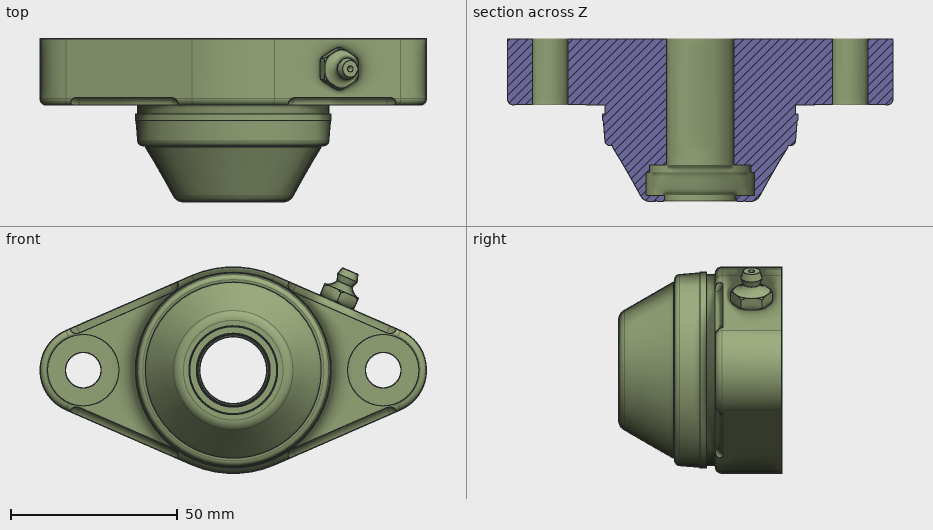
import cadquery as cq
import math


FLANGE_THICKNESS = 20.0
CENTER_RADIUS = 31.0
LUG_RADIUS = 13.0
LUG_OFFSET = 45.0
RIM_FILLET = 2.0
BOLT_HOLE_DIAMETER = 10.6
PAD_RADIUS = 10.7
PAD_DEPTH = 0.1

SIDE_SIN = (CENTER_RADIUS - LUG_RADIUS) / LUG_OFFSET
SIDE_COS = math.sqrt(1 - SIDE_SIN**2)
SIDE_LENGTH = LUG_OFFSET * SIDE_COS

COVE_RADIUS = 2.3
COVE_CENTER_SETBACK = 6.9
COVE_LUG_SETBACK = 3.5

HOUSING_RADIUS = 28.7
BAND_RADIUS = 29.4
BAND_START = 22.6
BAND_END = 24.6
CAP_RADIUS = 29.2
CAP_RIM_RADIUS = 28.7
CAP_RIM_END = 30.7
CAP_RIM_ROUND = 1.7
SHOULDER_RADIUS = 27.2
SHOULDER_END = 32.2
CONE_START_RADIUS = 26.4
CONE_START = 32.6
CONE_ANGLE = math.radians(30)
NOSE_ROUND = 3.4
TOTAL_DEPTH = 49.0

BORE_RADIUS = 10.0
SEAL_RADIUS = 13.2
SEAL_GROOVE_WIDTH = 0.3
SEAL_GROOVE_DEPTH = 0.3
SEAL_LIP_RADIUS = 10.6
SEAL_LIP_CHAMFER = 0.5
SEAL_LIP_LEDGE = 0.2
SEAL_LIP_WIDTH = 2.0
OUTER_CAVITY_RADIUS = 16.2
CAVITY_STEP_DEPTH = 8.8
INNER_CAVITY_RADIUS = 15.1
CAVITY_DEPTH = 11.0

NIPPLE_SETBACK = 9.1
NIPPLE_POSITION = 20.3
NIPPLE_EMBED = 1.0
HEX_ACROSS_FLATS = 11.0
HEX_HEIGHT = 3.8
HEX_CHAMFER = 0.6
SKIRT_RADIUS = HEX_ACROSS_FLATS / 2
SKIRT_MID_RADIUS = 3.5
SKIRT_MID_HEIGHT = 4.75
NECK_RADIUS = 2.5
NECK_HEIGHT = 6.1
HEAD_RADIUS = 3.2
HEAD_HEIGHT = 8.1
TIP_RADIUS = 2.5
TIP_HEIGHT = 10.3
PORT_RADIUS = 0.9
PORT_DEPTH = 1.0


AXIAL_PLANE = cq.Plane(origin=(0, 0, 0), xDir=(0, -1, 0), normal=(-1, 0, 0))


def revolve_about_y(profile):
    """Turn a closed profile, drawn as (distance along -Y, radius), about the Y axis."""
    return profile.close().revolve(360, (0, 0, 0), (1, 0, 0))


def side_frame(x_sign, z_sign, along, depth):
    """Frame on a straight side: x runs toward the lug, z points out of the side."""
    x = x_sign * (CENTER_RADIUS * SIDE_SIN + along * SIDE_COS)
    z = z_sign * (CENTER_RADIUS * SIDE_COS - along * SIDE_SIN)
    toward_lug = (x_sign * SIDE_COS, 0, -z_sign * SIDE_SIN)
    outward = (x_sign * SIDE_SIN, 0, z_sign * SIDE_COS)
    return cq.Plane(origin=(x, -depth, z), xDir=toward_lug, normal=outward)


def make_flange():
    center_x = CENTER_RADIUS * SIDE_SIN
    center_z = CENTER_RADIUS * SIDE_COS
    lug_x = LUG_OFFSET + LUG_RADIUS * SIDE_SIN
    lug_z = LUG_RADIUS * SIDE_COS
    lug_tip = LUG_OFFSET + LUG_RADIUS
    flange = (
        cq.Workplane("XZ")
        .moveTo(-center_x, center_z)
        .threePointArc((0, CENTER_RADIUS), (center_x, center_z))
        .lineTo(lug_x, lug_z)
        .threePointArc((lug_tip, 0), (lug_x, -lug_z))
        .lineTo(center_x, -center_z)
        .threePointArc((0, -CENTER_RADIUS), (-center_x, -center_z))
        .lineTo(-lug_x, -lug_z)
        .threePointArc((-lug_tip, 0), (-lug_x, lug_z))
        .close()
        .extrude(FLANGE_THICKNESS)
    )
    return flange.faces("<Y").edges().fillet(RIM_FILLET)


def make_cove(x_sign, z_sign):
    """Round-ended cutter centred on the front edge of one straight side."""
    frame = side_frame(x_sign, z_sign, COVE_CENTER_SETBACK, FLANGE_THICKNESS)
    length = SIDE_LENGTH - COVE_CENTER_SETBACK - COVE_LUG_SETBACK
    diagonal = COVE_RADIUS * math.sqrt(0.5)
    profile = (
        cq.Workplane(frame)
        .moveTo(-COVE_RADIUS, 0)
        .threePointArc((-diagonal, diagonal), (0, COVE_RADIUS))
        .lineTo(length, COVE_RADIUS)
        .threePointArc((length + diagonal, diagonal), (length + COVE_RADIUS, 0))
        .close()
    )
    return profile.revolve(360, (0, 0, 0), (1, 0, 0))


def make_housing():
    nose_radial = NOSE_ROUND * math.cos(CONE_ANGLE)
    nose_axial = NOSE_ROUND * (1 - math.sin(CONE_ANGLE))
    cone_end = TOTAL_DEPTH - nose_axial
    cone_end_radius = CONE_START_RADIUS - (cone_end - CONE_START) * math.tan(CONE_ANGLE)
    face_radius = cone_end_radius - nose_radial
    nose_mid_angle = (CONE_ANGLE + math.pi / 2) / 2
    nose_mid = (
        TOTAL_DEPTH - NOSE_ROUND * (1 - math.sin(nose_mid_angle)),
        face_radius + NOSE_ROUND * math.cos(nose_mid_angle),
    )
    profile = (
        cq.Workplane(AXIAL_PLANE)
        .lineTo(0, HOUSING_RADIUS)
        .lineTo(BAND_START, HOUSING_RADIUS)
        .lineTo(BAND_START, BAND_RADIUS)
        .lineTo(BAND_END, BAND_RADIUS)
        .lineTo(BAND_END, CAP_RADIUS)
        .lineTo(CAP_RIM_END, CAP_RIM_RADIUS)
        .radiusArc((SHOULDER_END, SHOULDER_RADIUS), CAP_RIM_ROUND)
        .lineTo(SHOULDER_END, CONE_START_RADIUS)
        .lineTo(CONE_START, CONE_START_RADIUS)
        .lineTo(cone_end, cone_end_radius)
        .threePointArc(nose_mid, (TOTAL_DEPTH, face_radius))
        .lineTo(TOTAL_DEPTH, 0)
    )
    return revolve_about_y(profile)


def make_bore():
    """Everything removed along the shaft axis."""
    lip_back = TOTAL_DEPTH - SEAL_LIP_WIDTH
    cavity_step = TOTAL_DEPTH - CAVITY_STEP_DEPTH
    cavity_floor = TOTAL_DEPTH - CAVITY_DEPTH
    chamfer_end = TOTAL_DEPTH - SEAL_LIP_CHAMFER
    profile = (
        cq.Workplane(AXIAL_PLANE)
        .lineTo(0, BORE_RADIUS)
        .lineTo(cavity_floor, BORE_RADIUS)
        .lineTo(cavity_floor, INNER_CAVITY_RADIUS)
        .lineTo(cavity_step, INNER_CAVITY_RADIUS)
        .lineTo(cavity_step, OUTER_CAVITY_RADIUS)
        .lineTo(lip_back, OUTER_CAVITY_RADIUS)
        .lineTo(lip_back, SEAL_LIP_RADIUS)
        .lineTo(chamfer_end, SEAL_LIP_RADIUS)
        .lineTo(chamfer_end, SEAL_LIP_RADIUS + SEAL_LIP_LEDGE)
        .lineTo(TOTAL_DEPTH, SEAL_LIP_RADIUS + SEAL_LIP_CHAMFER)
        .lineTo(TOTAL_DEPTH, 0)
    )
    return revolve_about_y(profile)


def make_seal_groove():
    """Fine ring groove between the seal and the nose of the cap."""
    return (
        cq.Workplane("XZ", origin=(0, SEAL_GROOVE_DEPTH - TOTAL_DEPTH, 0))
        .circle(SEAL_RADIUS + SEAL_GROOVE_WIDTH / 2)
        .circle(SEAL_RADIUS - SEAL_GROOVE_WIDTH / 2)
        .extrude(SEAL_GROOVE_DEPTH)
    )


def make_lug_cuts(x):
    """Bolt hole and spot face of the lug at the given X."""
    hole = cq.Workplane("XZ").center(x, 0).circle(BOLT_HOLE_DIAMETER / 2).extrude(FLANGE_THICKNESS)
    spot_face = (
        cq.Workplane("XZ", origin=(x, PAD_DEPTH - FLANGE_THICKNESS, 0))
        .circle(PAD_RADIUS)
        .extrude(PAD_DEPTH)
    )
    return hole.union(spot_face)


def make_nipple():
    frame = side_frame(1, 1, NIPPLE_POSITION, NIPPLE_SETBACK)
    across_corners = HEX_ACROSS_FLATS / math.cos(math.pi / 6)
    hexagon = (
        cq.Workplane(frame)
        .transformed(rotate=(0, 0, 90))
        .polygon(6, across_corners)
        .extrude(HEX_HEIGHT)
    )
    chamfered_disc = (
        cq.Workplane(frame)
        .circle(across_corners / 2)
        .extrude(HEX_HEIGHT)
        .edges("%CIRCLE")
        .chamfer(HEX_CHAMFER)
    )
    stem_plane = cq.Plane(origin=frame.origin, xDir=frame.xDir, normal=frame.yDir * -1)
    stem = (
        cq.Workplane(stem_plane)
        .moveTo(0, -NIPPLE_EMBED)
        .lineTo(NECK_RADIUS, -NIPPLE_EMBED)
        .lineTo(NECK_RADIUS, 0)
        .lineTo(SKIRT_RADIUS, HEX_HEIGHT)
        .threePointArc((SKIRT_MID_RADIUS, SKIRT_MID_HEIGHT), (NECK_RADIUS, NECK_HEIGHT))
        .lineTo(HEAD_RADIUS, HEAD_HEIGHT)
        .lineTo(TIP_RADIUS, TIP_HEIGHT)
        .lineTo(PORT_RADIUS, TIP_HEIGHT)
        .lineTo(0, TIP_HEIGHT - PORT_DEPTH)
        .close()
        .revolve(360, (0, 0, 0), (0, 1, 0))
    )
    return hexagon.intersect(chamfered_disc).union(stem)


body = make_flange()
for x_side in (-1, 1):
    for z_side in (-1, 1):
        body = body.cut(make_cove(x_side, z_side))
    body = body.cut(make_lug_cuts(x_side * LUG_OFFSET))
body = body.union(make_housing()).cut(make_bore()).cut(make_seal_groove())
result = body.union(make_nipple())